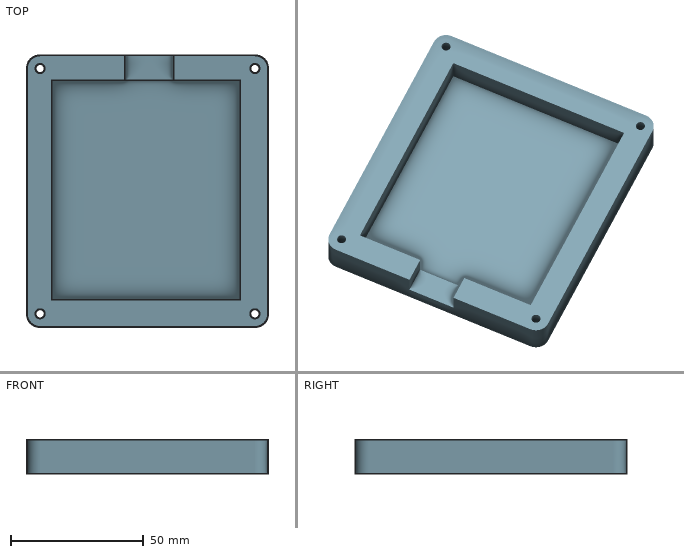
import cadquery as cq

width = 91.4
length = 103.0
height = 13.0
corner_radius = 5.0

pocket_width = 71.5
pocket_length = 83.0
pocket_depth = 10.0
left_wall = 9.4
front_wall = 10.4

notch_width = 18.4
notch_depth = 7.5
notch_left_offset = 37.2

hole_diameter = 3.4
hole_spacing_x = width - 2 * corner_radius
hole_spacing_y = length - 2 * corner_radius


def cut_box(x_min, y_min, size_x, size_y, depth):
    """Box reaching down from the top face by the given depth."""
    box = cq.Workplane("XY").box(size_x, size_y, depth, centered=False)
    return box.translate((x_min, y_min, height - depth))


block = cq.Workplane("XY").box(width, length, height, centered=(True, True, False))
block = block.edges("|Z").fillet(corner_radius)

pocket_x = left_wall - width / 2
pocket_y = front_wall - length / 2
pocket = cut_box(pocket_x, pocket_y, pocket_width, pocket_length, pocket_depth)

notch_x = notch_left_offset - width / 2
notch_y = pocket_y + pocket_length
back_wall = length / 2 - notch_y
notch = cut_box(notch_x, notch_y, notch_width, back_wall, notch_depth)

screw_holes = (
    cq.Workplane("XY")
    .rarray(hole_spacing_x, hole_spacing_y, 2, 2)
    .circle(hole_diameter / 2)
    .extrude(height)
)

result = block.cut(pocket).cut(notch).cut(screw_holes)